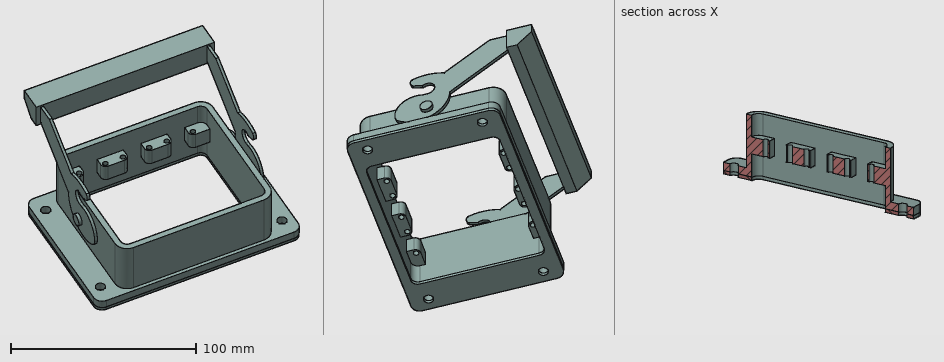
import cadquery as cq
import math

FLANGE_X = 86.5
FLANGE_Y = 124.0
FLANGE_TOP_Z = 7.0
FLANGE_CORNER_R = 5.1
GASKET_THICKNESS = 2.0
GASKET_SIDE_INSET = 0.1
BOLT_SPACING_X = 65.0
BOLT_SPACING_Y = 110.1
BOLT_HOLE_D = 5.5

BOX_X = 82.5
BOX_Y = 94.0
BOX_TOP_Z = 38.0
BOX_CORNER_R = 7.5
WALL = 3.5
OPENING_X = BOX_X - 2 * WALL
OPENING_Y = BOX_Y - 2 * WALL
OPENING_CORNER_R = BOX_CORNER_R - WALL

LUG_DEPTH = 7.2
LUG_LENGTH = 15.9
LUG_PITCH = 26.5
LUG_COUNT = 4
LUG_CORNER_R = 3.0
LUG_TOP_Z = 25.4
LUG_HEIGHT = 10.0
LUG_HOLE_D = 3.0
LUG_HOLE_SPACING = 10.7
LUG_HOLE_FROM_WALL = 4.7

PIVOT_Z = 28.0
ARM_INNER_Y = 49.6
ARM_THICKNESS = 1.7
PIVOT_SHAFT_D = 5.2
PIVOT_HEAD_D = 7.0
PIVOT_HEAD_HEIGHT = 2.0

BAR_LEFT_X = -60.0
BAR_SIZE = 14.3
BAR_TOP_Z = 73.8
BAR_LENGTH = 108.1
BAR_CHAMFER = 8.2
BAR_RIGHT_X = BAR_LEFT_X + BAR_SIZE

ARM_TOP_Z = 72.5
ARM_TOP_END_X = -35.5
ARM_BOTTOM_START_Z = 60.6
FINGER_ROOT = (-9.7, 54.2)
FINGER_CREST = (0.7, 56.0)
FINGER_TIP_TOP = (8.3, 54.8)
FINGER_TIP = (9.5, 52.2)
FINGER_TIP_BOTTOM = (8.0, 49.5)
THROAT_CENTER = (0.0, 44.3)
THROAT_R = 4.3
THROAT_TOP_ANGLE = 53
CAM_CENTER = (5.8, 28.0)
CAM_R = 12.4
CAM_TOP_ANGLE = 105
CAM_NOSE_ANGLE = -5
CAM_NOSE = (17.5, 24.3)
HEEL_CENTER = (5.1, 37.0)
HEEL_R = 17.9
HEEL_NOSE_ANGLE = -56


def polar(center, radius, angle_deg):
    """Point on a circle in the XZ plane."""
    angle = math.radians(angle_deg)
    return (center[0] + radius * math.cos(angle), center[1] + radius * math.sin(angle))


def rounded_block(size_x, size_y, corner_r, bottom_z, top_z):
    """Block centred on Z with its four vertical edges rounded."""
    return (
        cq.Workplane("XY", origin=(0, 0, bottom_z))
        .rect(size_x, size_y)
        .extrude(top_z - bottom_z)
        .edges("|Z")
        .fillet(corner_r)
    )


def opening():
    """Tool for the rounded opening through the box, the flange and the gasket."""
    return rounded_block(OPENING_X, OPENING_Y, OPENING_CORNER_R, 0, BOX_TOP_Z)


def bolt_holes():
    """Tool for the four corner bolt holes."""
    return (
        cq.Workplane("XY")
        .rect(BOLT_SPACING_X, BOLT_SPACING_Y, forConstruction=True)
        .vertices()
        .circle(BOLT_HOLE_D / 2)
        .extrude(FLANGE_TOP_Z)
    )


def lug(side, center_y):
    """Screw lug on the inner wall at +X (side 1) or -X (side -1), with two screw holes."""
    wall_x = OPENING_X / 2
    bottom_z = LUG_TOP_Z - LUG_HEIGHT
    embed = WALL / 2
    block = (
        cq.Workplane("XY", origin=(side * (wall_x - (LUG_DEPTH - embed) / 2), center_y, bottom_z))
        .rect(LUG_DEPTH + embed, LUG_LENGTH)
        .extrude(LUG_HEIGHT)
        .edges("|Z and <X" if side > 0 else "|Z and >X")
        .fillet(LUG_CORNER_R)
    )
    holes = (
        cq.Workplane("XY", origin=(side * (wall_x - LUG_HOLE_FROM_WALL), center_y, bottom_z))
        .pushPoints([(0, -LUG_HOLE_SPACING / 2), (0, LUG_HOLE_SPACING / 2)])
        .circle(LUG_HOLE_D / 2)
        .extrude(LUG_HEIGHT)
    )
    return block.cut(holes)


def make_housing():
    """Flange and open box in one piece, with the screw lugs inside."""
    flange = rounded_block(FLANGE_X, FLANGE_Y, FLANGE_CORNER_R, GASKET_THICKNESS, FLANGE_TOP_Z)
    box_outline = rounded_block(BOX_X, BOX_Y, BOX_CORNER_R, GASKET_THICKNESS, BOX_TOP_Z)
    body = flange.union(box_outline).cut(opening()).cut(bolt_holes())
    for side in (-1, 1):
        for index in range(LUG_COUNT):
            center_y = (index - (LUG_COUNT - 1) / 2) * LUG_PITCH
            body = body.union(lug(side, center_y).intersect(box_outline))
    return body


def make_gasket():
    """Flat gasket under the flange."""
    gasket_x = FLANGE_X - 2 * GASKET_SIDE_INSET
    plate = rounded_block(gasket_x, FLANGE_Y, FLANGE_CORNER_R, 0, GASKET_THICKNESS)
    return plate.cut(opening()).cut(bolt_holes())


def lever_arm():
    """Flat arm at the -Y side: shank, hooked finger, throat and cam, with its pivot pin on X = 0."""
    outer_y = -(ARM_INNER_Y + ARM_THICKNESS)
    plate = (
        cq.Workplane("XZ", origin=(0, -ARM_INNER_Y, 0))
        .moveTo(BAR_RIGHT_X, ARM_TOP_Z)
        .lineTo(ARM_TOP_END_X, ARM_TOP_Z)
        .lineTo(*FINGER_ROOT)
        .threePointArc(FINGER_CREST, FINGER_TIP_TOP)
        .threePointArc(FINGER_TIP, FINGER_TIP_BOTTOM)
        .lineTo(*polar(THROAT_CENTER, THROAT_R, THROAT_TOP_ANGLE))
        .threePointArc(polar(THROAT_CENTER, THROAT_R, 180), polar(THROAT_CENTER, THROAT_R, 270))
        .lineTo(*polar(CAM_CENTER, CAM_R, CAM_TOP_ANGLE))
        .threePointArc(
            polar(CAM_CENTER, CAM_R, (CAM_TOP_ANGLE + CAM_NOSE_ANGLE) / 2),
            polar(CAM_CENTER, CAM_R, CAM_NOSE_ANGLE),
        )
        .threePointArc(CAM_NOSE, polar(HEEL_CENTER, HEEL_R, HEEL_NOSE_ANGLE))
        .threePointArc(polar(HEEL_CENTER, HEEL_R, -90), polar(HEEL_CENTER, HEEL_R, -180))
        .lineTo(BAR_RIGHT_X, ARM_BOTTOM_START_Z)
        .close()
        .extrude(ARM_THICKNESS)
    )
    shaft = (
        cq.Workplane("XZ", origin=(0, -BOX_Y / 2, PIVOT_Z))
        .circle(PIVOT_SHAFT_D / 2)
        .extrude(ARM_INNER_Y - BOX_Y / 2)
    )
    head = (
        cq.Workplane("XZ", origin=(0, outer_y, PIVOT_Z))
        .circle(PIVOT_HEAD_D / 2)
        .extrude(PIVOT_HEAD_HEIGHT)
    )
    return plate.union(shaft).union(head)


def make_lever():
    """Grip bar joined to one arm at each end."""
    bar_bottom_z = BAR_TOP_Z - BAR_SIZE
    bar = (
        cq.Workplane("XZ", origin=(0, BAR_LENGTH / 2, 0))
        .moveTo(BAR_LEFT_X, BAR_TOP_Z)
        .lineTo(BAR_RIGHT_X, BAR_TOP_Z)
        .lineTo(BAR_RIGHT_X, bar_bottom_z)
        .lineTo(BAR_LEFT_X + BAR_CHAMFER, bar_bottom_z)
        .lineTo(BAR_LEFT_X, bar_bottom_z + BAR_CHAMFER)
        .close()
        .extrude(BAR_LENGTH)
    )
    arm = lever_arm()
    return bar.union(arm).union(arm.mirror("XZ"))


housing = make_housing()
gasket = make_gasket()
lever = make_lever()

result = cq.Compound.makeCompound(
    [housing.solids().val(), gasket.solids().val(), lever.solids().val()]
)